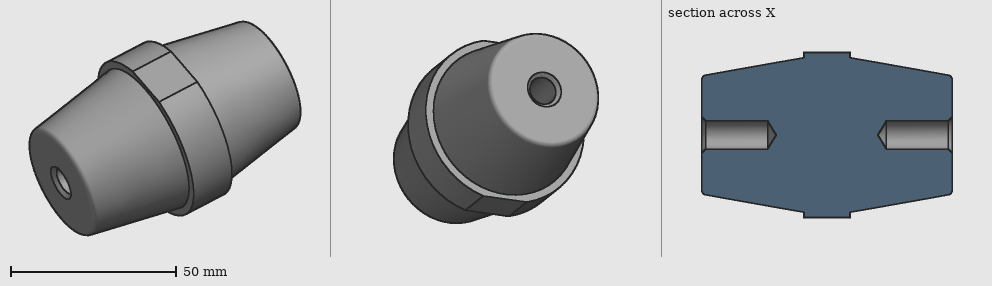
import cadquery as cq
import math

length = 76.0
collar_diameter = 52.0
collar_width = 14.0
across_flats = 50.0

taper_root_diameter = 47.0
taper_end_diameter = 36.0
end_fillet = 1.5

hole_diameter = 8.5
hole_depth = 20.0
drill_point_angle = 118.0
countersink_diameter = 11.0
countersink_angle = 90.0

half_length = length / 2
half_collar = collar_width / 2


def make_tapered_body():
    """Both tapered ends, revolved as one solid with rounded end edges."""
    root_radius = taper_root_diameter / 2
    end_radius = taper_end_diameter / 2
    profile = (
        cq.Workplane("XY")
        .moveTo(0, -half_length)
        .lineTo(end_radius, -half_length)
        .lineTo(root_radius, -half_collar)
        .lineTo(root_radius, half_collar)
        .lineTo(end_radius, half_length)
        .lineTo(0, half_length)
        .close()
    )
    body = profile.revolve(360, (0, 0, 0), (0, 1, 0))
    return body.faces("<Y or >Y").edges().fillet(end_fillet)


def make_collar():
    """Central round collar with flats on its +Z and -Z sides."""
    disc = cq.Workplane("XZ").circle(collar_diameter / 2).extrude(half_collar, both=True)
    flats = cq.Workplane("XY").box(collar_diameter, collar_width, across_flats)
    return disc.intersect(flats)


def make_end_hole():
    """Countersunk blind hole with a conical bottom, cut into the -Y end."""
    hole_radius = hole_diameter / 2
    countersink_radius = countersink_diameter / 2
    countersink_depth = (countersink_radius - hole_radius) / math.tan(math.radians(countersink_angle / 2))
    point_depth = hole_radius / math.tan(math.radians(drill_point_angle / 2))
    hole_bottom = -half_length + hole_depth
    profile = (
        cq.Workplane("XY")
        .moveTo(0, -half_length)
        .lineTo(countersink_radius, -half_length)
        .lineTo(hole_radius, -half_length + countersink_depth)
        .lineTo(hole_radius, hole_bottom)
        .lineTo(0, hole_bottom + point_depth)
        .close()
    )
    return profile.revolve(360, (0, 0, 0), (0, 1, 0))


front_hole = make_end_hole()
back_hole = front_hole.mirror("XZ")

result = make_tapered_body().union(make_collar()).cut(front_hole).cut(back_hole)